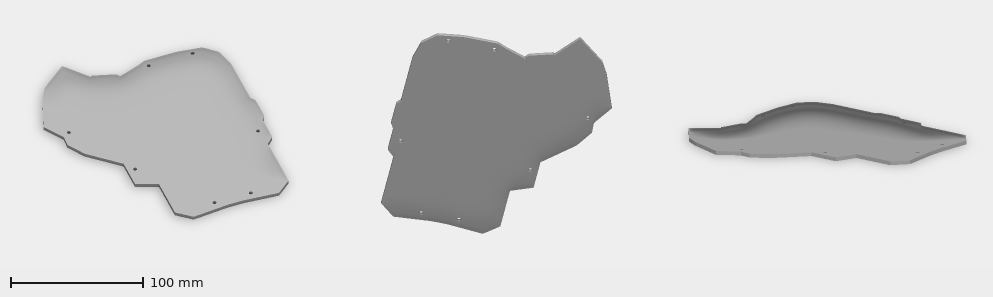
import cadquery as cq

length = 186.6
width = 159.5
thickness = 3.0

shoulder_y = 156.8
right_top_y = 151.0
right_bottom_y = 58.6
lower_tab_y = 41.8

left_edge_x = 18.0
right_corner_x = 177.0
waist_x = 184.2

waist_y = (right_top_y + right_bottom_y) / 2
waist_half_length = 6.2
right_half_height = 34.7

hole_diameter = 3.0

top_edge = [
    (left_edge_x, 120.4),
    (18.1, 124.5),
    (20.7, 143.0),
    (30.0, 153.2),
    (45.2, shoulder_y),
    (84.3, shoulder_y),
    (87.7, width),
    (105.6, width),
    (110.5, shoulder_y),
    (129.1, shoulder_y),
    (134.7, right_top_y),
    (right_corner_x, right_top_y),
]

right_edge = [
    (length, waist_y + right_half_height),
    (waist_x, waist_y + waist_half_length),
    (waist_x, waist_y - waist_half_length),
    (length, waist_y - right_half_height),
]

bottom_edge = [
    (right_corner_x, right_bottom_y),
    (144.5, right_bottom_y),
    (137.7, lower_tab_y),
    (114.4, lower_tab_y),
    (95.0, 20.0),
    (93.1, 18.1),
    (79.9, 9.7),
    (71.3, 10.3),
    (69.5, 9.1),
    (55.5, 0.0),
    (27.6, 10.3),
    (17.2, 16.0),
]

left_edge = [
    (0.0, 37.1),
    (19.0, 53.0),
    (18.0, 54.0),
    (23.1, 71.1),
    (24.8, 73.2),
    (26.7, 73.3),
    (20.7, 90.7),
    (left_edge_x, 96.9),
]

hole_centers = [
    (23.9, 133.8),
    (23.9, 98.2),
    (119.2, 149.1),
    (178.8, 119.6),
    (178.2, 90.3),
    (122.8, 47.8),
    (68.0, 15.7),
]

outline = top_edge + right_edge + bottom_edge + left_edge
plate = cq.Workplane("XY").polyline(outline).close().extrude(thickness)

holes = (
    cq.Workplane("XY")
    .pushPoints(hole_centers)
    .circle(hole_diameter / 2)
    .extrude(thickness)
)

result = plate.cut(holes)